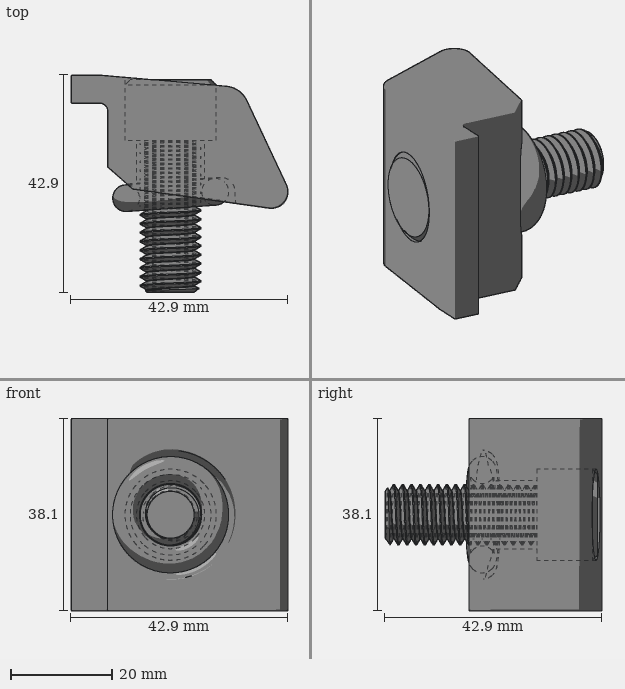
import cadquery as cq
import math


JAW_HEIGHT = 38.1
JAW_LEFT = -19.65
JAW_BACK = 12.92
LIP_THICKNESS = 5.6
LIP_ROOT_X = -12.45
LIP_ROOT_RADIUS = 1.5
BACK_SLOPE_START_X = -13.75
BACK_SLOPE = 5.0
BEVEL_START_Y = -5.25
BEVEL_END_X = -7.45
BEVEL_END_Y = -9.6
FRONT_SLOPE = 8.0
FRONT_CORNER_X = 25.5
BACK_CORNER_X = 13.85
FRONT_CORNER_RADIUS = 3.3
BACK_CORNER_RADIUS = 5.0
EDGE_RADIUS = 0.25

THREAD_RADIUS = 6.0
THREAD_PITCH = 14.0 / 8
THREAD_DEPTH = 1.2
THREAD_CREST_WIDTH = THREAD_PITCH / 8
THREAD_FLANK_ANGLE = 30.0
THREAD_PHASE = -13.82
SHANK_LENGTH = 30.0
TIP_RADIUS = 4.65
TIP_CHAMFER_LENGTH = 1.05
HEAD_RADIUS = 9.0
HEAD_HEIGHT = 12.0
HEAD_CHAMFER = 1.05

RING_TUBE_RADIUS = 2.65
RING_RADIUS = 8.85
RING_Y = -10.78
RING_TILT = 4.1
POCKET_RADIUS = 12.75
POCKET_FLOOR_RADIUS = 2.8
SHANK_HOLE_RADIUS = 6.75


def place_along_y(body):
    """Turn a body built along Z so that its axis lies along Y."""
    return body.rotate((0, 0, 0), (1, 0, 0), -90)


def place_at_ring(body):
    """Move a body built along Z onto the tilted ring axis."""
    tilted = place_along_y(body).rotate((0, 0, 0), (0, 0, 1), RING_TILT)
    return tilted.translate((0, RING_Y, 0))


def round_upright_edges(block, corners, radius):
    """Fillet the upright edge at each (x, y) corner."""
    for x, y in corners:
        block = block.edges(cq.NearestToPointSelector((x, y, 0))).fillet(radius)
    return block


def jaw_block():
    lip_front = JAW_BACK - LIP_THICKNESS
    back_drop = (BACK_CORNER_X - BACK_SLOPE_START_X) * math.tan(math.radians(BACK_SLOPE))
    back_corner = (BACK_CORNER_X, JAW_BACK - back_drop)
    front_drop = (FRONT_CORNER_X - BEVEL_END_X) * math.tan(math.radians(FRONT_SLOPE))
    front_corner = (FRONT_CORNER_X, BEVEL_END_Y - front_drop)
    lip_root = (LIP_ROOT_X, lip_front)
    sharp_corners = [
        (JAW_LEFT, JAW_BACK),
        (JAW_LEFT, lip_front),
        (LIP_ROOT_X, BEVEL_START_Y),
        (BEVEL_END_X, BEVEL_END_Y),
    ]
    lip_back, lip_tip, bevel_start, bevel_end = sharp_corners
    outline = [
        lip_back, lip_tip, lip_root, bevel_start, bevel_end,
        front_corner, back_corner, (BACK_SLOPE_START_X, JAW_BACK),
    ]
    block = cq.Workplane("XY").polyline(outline).close().extrude(JAW_HEIGHT / 2, both=True)

    block = round_upright_edges(block, [lip_root], LIP_ROOT_RADIUS)
    block = round_upright_edges(block, [front_corner], FRONT_CORNER_RADIUS)
    block = round_upright_edges(block, [back_corner], BACK_CORNER_RADIUS)
    block = round_upright_edges(block, sharp_corners, EDGE_RADIUS)
    return block.faces("<Z or >Z").edges().fillet(EDGE_RADIUS)


def ring_pocket():
    """Round pocket, open toward -Y, whose floor lies one floor radius behind the ring plane."""
    pocket = (
        cq.Workplane("XY")
        .workplane(offset=POCKET_FLOOR_RADIUS)
        .circle(POCKET_RADIUS)
        .extrude(-2 * POCKET_RADIUS)
        .faces(">Z").edges().fillet(POCKET_FLOOR_RADIUS)
    )
    return place_at_ring(pocket)


def make_jaw():
    """Jaw with the ring pocket, its rounded rim, and the bores for the screw shank and head."""
    shank_hole = cq.Workplane("XY").circle(SHANK_HOLE_RADIUS).extrude(-SHANK_LENGTH)
    head_bore = cq.Workplane("XY").circle(HEAD_RADIUS).extrude(2 * HEAD_HEIGHT)
    jaw = jaw_block().cut(ring_pocket())
    rim_region = cq.selectors.BoxSelector(
        (0, RING_Y - POCKET_RADIUS, -POCKET_RADIUS),
        (POCKET_RADIUS, RING_Y, POCKET_RADIUS),
    )
    jaw = jaw.edges(cq.selectors.StringSyntaxSelector("%ELLIPSE") & rim_region).fillet(EDGE_RADIUS)
    return jaw.cut(place_along_y(shank_hole)).cut(place_along_y(head_bore))


def thread_ridge():
    """Right-hand helical ridge, longer at both ends than the shank and rooted inside its core."""
    turns_below_phase = math.ceil((SHANK_LENGTH + THREAD_PHASE) / THREAD_PITCH)
    start_z = THREAD_PHASE - turns_below_phase * THREAD_PITCH
    root_overlap = 0.1
    root_radius = THREAD_RADIUS - THREAD_DEPTH
    inner_radius = root_radius - root_overlap
    half_crest = THREAD_CREST_WIDTH / 2
    flank_slope = math.tan(math.radians(THREAD_FLANK_ANGLE))
    half_base = half_crest + (THREAD_DEPTH + root_overlap) * flank_slope
    helix = cq.Wire.makeHelix(THREAD_PITCH, -start_z + THREAD_PITCH, root_radius)
    ridge = (
        cq.Workplane("XZ")
        .polyline([
            (inner_radius, -half_base),
            (THREAD_RADIUS, -half_crest),
            (THREAD_RADIUS, half_crest),
            (inner_radius, half_base),
        ])
        .close()
        .sweep(cq.Workplane(helix), isFrenet=True)
    )
    return ridge.translate((0, 0, start_z))


def shank_envelope():
    """Solid of revolution that trims the threaded shank to length and chamfers its tip."""
    clear_radius = 1.1 * THREAD_RADIUS
    chamfer_slope = TIP_CHAMFER_LENGTH / (THREAD_RADIUS - TIP_RADIUS)
    chamfer_top = -SHANK_LENGTH + (clear_radius - TIP_RADIUS) * chamfer_slope
    return (
        cq.Workplane("XZ")
        .polyline([
            (0, 0),
            (clear_radius, 0),
            (clear_radius, chamfer_top),
            (TIP_RADIUS, -SHANK_LENGTH),
            (0, -SHANK_LENGTH),
        ])
        .close()
        .revolve(360, (0, 0), (0, 1))
    )


def make_screw():
    """Fully threaded screw with a chamfered round head."""
    thread_overrun = 4 * THREAD_PITCH
    core = (
        cq.Workplane("XY")
        .workplane(offset=thread_overrun)
        .circle(THREAD_RADIUS - THREAD_DEPTH)
        .extrude(-SHANK_LENGTH - 2 * thread_overrun)
    )
    shank = core.union(thread_ridge()).intersect(shank_envelope())
    head = cq.Workplane("XY").circle(HEAD_RADIUS).extrude(HEAD_HEIGHT)
    head = head.faces(">Z").edges().chamfer(HEAD_CHAMFER)
    return place_along_y(shank.union(head))


def make_ring():
    torus = cq.Solid.makeTorus(RING_RADIUS, RING_TUBE_RADIUS)
    return place_at_ring(cq.Workplane(torus))


jaw = make_jaw()
screw = make_screw()
ring = make_ring()
result = cq.Compound.makeCompound([jaw.solids().val(), screw.solids().val(), ring.solids().val()])